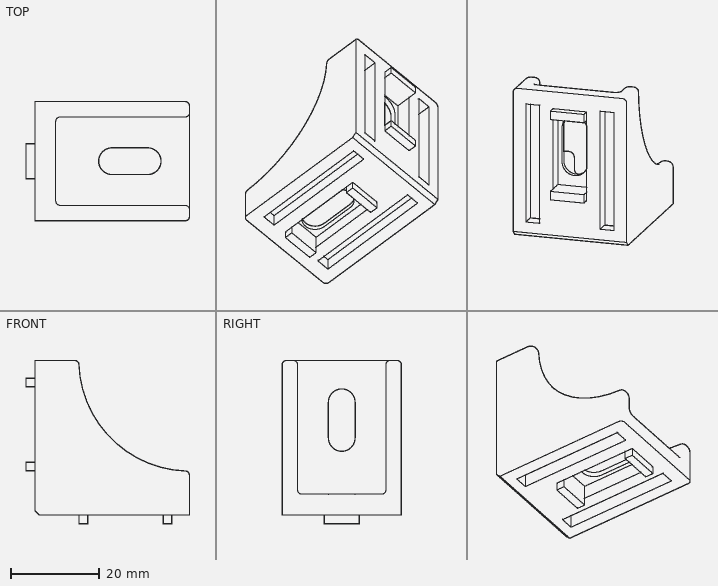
import cadquery as cq
import math

overall = 37.0
lug_height = 2.0
leg = overall - lug_height
width = 27.0

leg_thickness = 4.75
cheek_thickness = 3.5
cheek_arc_radius = 25.0
corner_chamfer = 1.0
pocket_fillet = 1.0
cheek_edge_fillet = 1.5
rim_fillet = 1.0

lug_width = 8.0
lug_thickness = 2.0
lug_starts = (10.0, 29.0)
recess_start = lug_starts[0] + lug_thickness
recess_length = lug_starts[1] - recess_start
recess_depth = 3.5
slot_width = 6.0
slot_length = 14.05
slot_center = 21.5

groove_margin = 3.5
groove_width = 3.3
groove_depth = 3.4
groove_offset = 8.85


def swap_legs(shape):
    """Carry a shape from the upright leg to the flat leg by exchanging X and Z."""
    return shape.rotate((0, 0, 0), (1, 0, 1), 180)


def box_on_leg(x_start, x_size, y_center, y_size, z_start, z_size):
    """Box with its X and Z starts given and its Y size spread evenly about y_center."""
    box = cq.Workplane("XY").box(x_size, y_size, z_size, centered=(False, True, False))
    return box.translate((x_start, y_center, z_start))


def make_block():
    """Side profile with the concave cheek arc, extruded over the full width."""
    arc_start = leg - cheek_arc_radius
    arc_middle = leg - cheek_arc_radius * math.cos(math.radians(45))
    return (
        cq.Workplane("XZ")
        .moveTo(corner_chamfer, 0)
        .lineTo(leg, 0)
        .lineTo(leg, arc_start)
        .threePointArc((arc_middle, arc_middle), (arc_start, leg))
        .lineTo(0, leg)
        .lineTo(0, corner_chamfer)
        .close()
        .extrude(width / 2, both=True)
    )


def make_pocket():
    """Open space between the cheeks, with rounded inner edges and corners."""
    inner_width = width - 2 * cheek_thickness
    pocket = box_on_leg(leg_thickness, leg, 0, inner_width, leg_thickness, leg)
    inner_edges = pocket.edges("<X or <Z or (|X and <Z) or (|Z and <X)")
    return inner_edges.fillet(pocket_fillet)


def round_cheeks(body):
    """Round the curved cheek edges, then the rims at the ends of both legs."""
    arc_edges = body.edges(cq.selectors.RadiusNthSelector(-1))
    body = arc_edges.fillet(cheek_edge_fillet)
    body = body.faces(">Z").edges("not <X").fillet(rim_fillet)
    return body.faces(">X").edges("not <Z").fillet(rim_fillet)


def make_lugs():
    """Pair of locating lugs on the upright leg."""
    lower, upper = [
        box_on_leg(-lug_height, lug_height, 0, lug_width, start, lug_thickness) for start in lug_starts
    ]
    return lower.union(upper)


def make_leg_cuts():
    """Recess, screw slot and grooves of the upright leg."""
    cuts = box_on_leg(0, recess_depth, 0, lug_width, recess_start, recess_length)
    slot = (
        cq.Workplane("YZ")
        .center(0, slot_center)
        .slot2D(slot_length, slot_width, 90)
        .extrude(leg_thickness)
    )
    cuts = cuts.union(slot)
    groove_length = leg - 2 * groove_margin
    for y in (-groove_offset, groove_offset):
        cuts = cuts.union(box_on_leg(0, groove_depth, y, groove_width, groove_margin, groove_length))
    return cuts


lugs = make_lugs()
leg_cuts = make_leg_cuts()

result = round_cheeks(make_block().cut(make_pocket()))
result = result.cut(leg_cuts).cut(swap_legs(leg_cuts))
result = result.union(lugs).union(swap_legs(lugs))